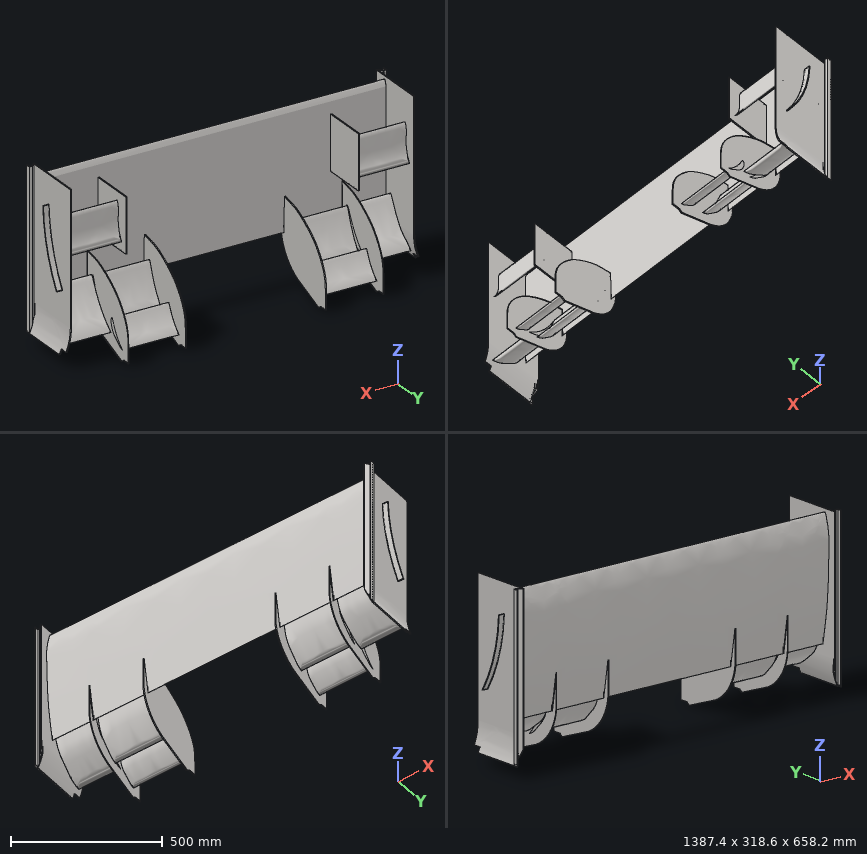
import cadquery as cq
import math


half_span = 693.72
top_z = 658.17

endplate_thickness = 4.5
endplate_outer_x = 668.5
endplate_inner_x = endplate_outer_x - endplate_thickness
endplate_rear_y = 234.0
endplate_bottom_z = 46.0
flare_start_z = 147.5
flare_notch_y = 205.0
flare_notch_z = 64.0

flare_drop = flare_start_z - endplate_bottom_z
flare_outset = half_span - endplate_outer_x
flare_radius = (flare_drop**2 + flare_outset**2) / (2 * flare_outset)
flare_angle = math.asin(flare_drop / flare_radius)
flare_centre_x = endplate_outer_x + flare_radius
flare_inner_radius = flare_radius + endplate_thickness
flare_inner_angle = math.asin(flare_drop / flare_inner_radius)

lip_depth = 18.0
lip_wall = 4.0
lip_bend_x = 682.0

main_section = [
    [(60, 187), (49, 250), (36, 346), (29, 495), (37, 612), (51, 645.5), (62, 622)],
    [(62, 622), (60, 187)],
]
flap_section = [
    [(209, 401), (193, 421), (178, 459), (170.5, 509), (180, 541), (187, 525),
     (187, 480), (191, 442), (209, 401)],
]
lower_section = [
    [(211, 80), (178, 93), (147, 115), (105, 150), (81, 198), (79, 228), (88, 241),
     (101, 225), (122, 183), (163, 125), (211, 80)],
]


def scaled_section(section, y_scale, z_scale, new_tail):
    """Section resized about its tail, with the tail moved to a new place."""
    old_y, old_z = section[0][0]
    new_y, new_z = new_tail

    def place(point):
        y, z = point
        return (new_y + y_scale * (y - old_y), new_z + z_scale * (z - old_z))

    return [[place(point) for point in curve] for curve in section]


front_winglet_section = scaled_section(lower_section, y_scale=0.71, z_scale=1.0, new_tail=(179, 80))
rear_winglet_section = scaled_section(lower_section, y_scale=0.54, z_scale=0.57, new_tail=(279, 42))

strake_top = (97, 548)
strake_middle = (125, 391)
strake_bottom = (182, 268)
strake_thickness = 4.0
strake_tip_x = 690.5

outer_strut_x = 493.5
outer_strut_thickness = 3.0
inner_strut_x = 269.5
inner_strut_thickness = 4.5
strut_front_y = 38.0
strut_rear_y = 318.55
strut_top_z = 324.0
strut_curve_start_z = 200.0
strut_curve_middle = (71, 110)
strut_curve_end = (142, 51)
strut_foot = (276, 0)
strut_heel = (288, 9)
strut_back_start_z = 62.0
strut_back_points = [(311, 133), (280, 193), (234, 243), (140, 300)]
strut_top_slope = 0.22
support_x = 449.0
support_thickness = 4.5
support_front_y = 45.0
support_rear_y = 235.0
support_bottom_z = 366.0
support_top_z = 576.0


def extrude_x(profile, x_start, x_end):
    """Extrude a closed (y, z) profile from x_start to x_end."""
    return profile.extrude(x_end - x_start).translate((x_start, 0, 0))


def box_at(corner, size):
    """Box given by its lowest corner and its X, Y, Z size."""
    return cq.Workplane("XY").box(*size, centered=False).translate(corner)


def aerofoil(section, x_start, x_end):
    """Wing solid with a constant section."""
    profile = cq.Workplane("YZ")
    for curve in section:
        profile = profile.spline(curve)
    return extrude_x(profile.close(), x_start, x_end)


def flare_point(radius, angle):
    """(x, z) point on a circle about the flare centre, turned down from the flat plate."""
    x = flare_centre_x - radius * math.cos(angle)
    z = flare_start_z - radius * math.sin(angle)
    return (x, z)


def plate_with_flare():
    """Upright plate whose lower edge curves outward, drawn in XZ on the +X side."""
    profile = (
        cq.Workplane("XZ")
        .moveTo(endplate_inner_x, top_z)
        .lineTo(endplate_outer_x, top_z)
        .lineTo(endplate_outer_x, flare_start_z)
        .threePointArc(
            flare_point(flare_radius, flare_angle / 2),
            flare_point(flare_radius, flare_angle),
        )
        .lineTo(*flare_point(flare_inner_radius, flare_inner_angle))
        .threePointArc(
            flare_point(flare_inner_radius, flare_inner_angle / 2),
            (endplate_inner_x, flare_start_z),
        )
        .close()
    )
    plate = profile.extrude(-endplate_rear_y)
    rear_notch = box_at(
        (endplate_inner_x, flare_notch_y, 0),
        (half_span, endplate_rear_y, flare_notch_z),
    )
    lip_gap = box_at(
        (endplate_outer_x, 0, 0),
        (half_span, lip_depth - lip_wall, flare_start_z),
    )
    return plate.cut(rear_notch).cut(lip_gap)


def front_lip():
    """Channel section in XY, trimmed below along the inner curve of the flare."""
    channel_floor_y = lip_depth - lip_wall
    channel_wall_x = half_span - lip_wall
    channel = (
        cq.Workplane("XY")
        .moveTo(endplate_inner_x, 0)
        .lineTo(endplate_outer_x, 0)
        .lineTo(lip_bend_x, channel_floor_y)
        .lineTo(channel_wall_x, channel_floor_y)
        .lineTo(channel_wall_x, 0)
        .lineTo(half_span, 0)
        .lineTo(half_span, lip_depth)
        .lineTo(lip_bend_x, lip_depth)
        .lineTo(endplate_inner_x, lip_wall)
        .close()
        .extrude(top_z)
    )
    below_flare = (
        cq.Workplane("XZ")
        .moveTo(endplate_inner_x, flare_start_z)
        .threePointArc(
            flare_point(flare_inner_radius, flare_angle / 2),
            (half_span, endplate_bottom_z),
        )
        .lineTo(half_span, 0)
        .lineTo(endplate_inner_x, 0)
        .close()
        .extrude(-lip_depth)
    )
    return channel.cut(below_flare)


def strake():
    """Thin curved vane projecting outward from the endplate."""

    def rear_face(point):
        y, z = point
        return (y + strake_thickness, z)

    profile = (
        cq.Workplane("YZ")
        .moveTo(*strake_top)
        .threePointArc(strake_middle, strake_bottom)
        .lineTo(*rear_face(strake_bottom))
        .threePointArc(rear_face(strake_middle), rear_face(strake_top))
        .close()
    )
    return extrude_x(profile, endplate_inner_x, strake_tip_x)


def strut_plate(inner_x, outer_x):
    """Curved plate hanging below the main plane and carrying the winglets."""
    profile = (
        cq.Workplane("YZ")
        .moveTo(strut_front_y, strut_top_z)
        .lineTo(strut_front_y, strut_curve_start_z)
        .threePointArc(strut_curve_middle, strut_curve_end)
        .lineTo(*strut_foot)
        .lineTo(*strut_heel)
        .lineTo(strut_rear_y, strut_heel[1])
        .lineTo(strut_rear_y, strut_back_start_z)
        .spline(
            strut_back_points + [(strut_front_y, strut_top_z)],
            tangents=[(0, 1), (-1, strut_top_slope)],
            includeCurrent=True,
        )
        .close()
    )
    return extrude_x(profile, inner_x, outer_x)


def support_plate():
    """Flat plate joining the inner end of the upper flap to the main plane."""
    return box_at(
        (support_x, support_front_y, support_bottom_z),
        (support_thickness, support_rear_y - support_front_y, support_top_z - support_bottom_z),
    )


def side_assembly():
    """Everything on the +X side; the wing ends finish flush with the outer plate faces."""
    endplate = plate_with_flare()
    strut_outer_face = outer_strut_x + outer_strut_thickness
    lower_through_flare = aerofoil(lower_section, endplate_outer_x, half_span).intersect(endplate)
    parts = [
        front_lip(),
        strake(),
        aerofoil(flap_section, support_x, endplate_outer_x),
        support_plate(),
        aerofoil(lower_section, outer_strut_x, endplate_outer_x),
        lower_through_flare,
        strut_plate(outer_strut_x, strut_outer_face),
        strut_plate(inner_strut_x, inner_strut_x + inner_strut_thickness),
        aerofoil(front_winglet_section, inner_strut_x, strut_outer_face),
        aerofoil(rear_winglet_section, inner_strut_x, strut_outer_face),
    ]
    assembly = endplate
    for part in parts:
        assembly = assembly.union(part, clean=False)
    return assembly


side = side_assembly()
main_plane = aerofoil(main_section, -endplate_outer_x, endplate_outer_x)
result = main_plane.union(side, clean=False).union(side.mirror("YZ"), clean=False)